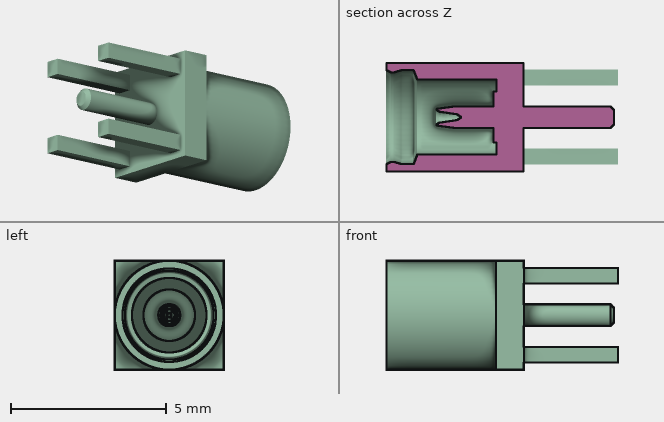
import cadquery as cq


total_length = 7.45
flange_size = 3.51
flange_thickness = 0.89
leg_length = 3.03
barrel_radius = flange_size / 2
mouth_x = leg_length - total_length
flange_front_x = -flange_thickness

mouth_radius = 1.505
lip_radius = 1.43
bore_radius = 1.2
lip_start_x = mouth_x + 0.15
lip_end_x = lip_start_x + 0.09
groove_start_x = lip_end_x + 0.25
groove_end_x = groove_start_x + 0.38
bore_start_x = groove_end_x + 0.12
floor_x = flange_front_x

insulator_radius = 0.83
insulator_height = 0.1

leg_size = 0.51
leg_pitch = 2.54

contact_radius = 0.355
contact_tail_length = 2.90
contact_tail_chamfer = 0.12
contact_front_x = mouth_x + 1.6
squeeze_length = 0.6
tip_half_width = 0.275
tip_half_height = 0.33

entry_half_width = 0.235
entry_half_height = 0.285
throat_half_width = 0.17
throat_half_height = 0.20
entry_depth = 0.1
slot_half_width = 0.08
slot_depth = 0.6
centre_radius = 0.066
centre_depth = 0.1


def section_at(x):
    """Plane across the axis: local x runs along Y, local y along Z, normal is +X."""
    return cq.Workplane("YZ", origin=(x, 0, 0))


def revolve_about_axis(profile):
    """Full turn about X of a closed (x, radius) outline."""
    return cq.Workplane("XY").polyline(profile).close().revolve(360, (0, 0, 0), (1, 0, 0))


def make_shell():
    flange = section_at(flange_front_x).rect(flange_size, flange_size).extrude(flange_thickness)
    barrel = section_at(mouth_x).circle(barrel_radius).extrude(flange_front_x - mouth_x)
    return flange.union(barrel)


def make_bore():
    """Tapered mouth, retaining lip, snap groove and plain bore, turned about X."""
    profile = [
        (mouth_x, 0),
        (mouth_x, mouth_radius),
        (lip_start_x, lip_radius),
        (lip_end_x, lip_radius),
        (groove_start_x, mouth_radius),
        (groove_end_x, mouth_radius),
        (bore_start_x, bore_radius),
        (floor_x, bore_radius),
        (floor_x, 0),
    ]
    return revolve_about_axis(profile)


def make_insulator():
    return section_at(floor_x - insulator_height).circle(insulator_radius).extrude(insulator_height)


def make_legs():
    """Four square legs at the corners of a square."""
    centres = section_at(0).rect(leg_pitch, leg_pitch, forConstruction=True).vertices()
    return centres.rect(leg_size, leg_size).extrude(leg_length)


def loft_ellipses(start_x, start_half_sizes, length, end_half_sizes):
    """Solid blending two ellipses, each given as (half width in Y, half height in Z)."""
    start = section_at(start_x).ellipse(*start_half_sizes)
    return start.workplane(offset=length).ellipse(*end_half_sizes).loft(ruled=True)


def make_contact():
    """Round pin whose front end is squeezed to an oval."""
    shank_x = contact_front_x + squeeze_length
    shank = section_at(shank_x).circle(contact_radius).extrude(contact_tail_length - shank_x)
    shank = shank.faces(">X").chamfer(contact_tail_chamfer)
    tip = loft_ellipses(
        contact_front_x,
        (tip_half_width, tip_half_height),
        squeeze_length,
        (contact_radius, contact_radius),
    )
    return shank.union(tip)


def make_socket():
    """Oval countersink, then a slot narrowing in Y, then a small conical centre mark."""
    throat_x = contact_front_x + entry_depth
    slot_end_x = throat_x + slot_depth
    entry = loft_ellipses(
        contact_front_x,
        (entry_half_width, entry_half_height),
        entry_depth,
        (throat_half_width, throat_half_height),
    )
    wedge_outline = [
        (throat_x, -throat_half_width),
        (throat_x, throat_half_width),
        (slot_end_x, slot_half_width),
        (slot_end_x, -slot_half_width),
    ]
    wedge = cq.Workplane("XY").polyline(wedge_outline).close().extrude(throat_half_height, both=True)
    throat = section_at(throat_x).ellipse(throat_half_width, throat_half_height).extrude(slot_depth)
    centre_outline = [
        (slot_end_x, 0),
        (slot_end_x, centre_radius),
        (slot_end_x + centre_depth, 0),
    ]
    centre_mark = revolve_about_axis(centre_outline)
    return entry.union(wedge.intersect(throat)).union(centre_mark)


shell = make_shell().cut(make_bore()).union(make_insulator()).union(make_legs())
contact = make_contact().cut(make_socket())
result = shell.union(contact)